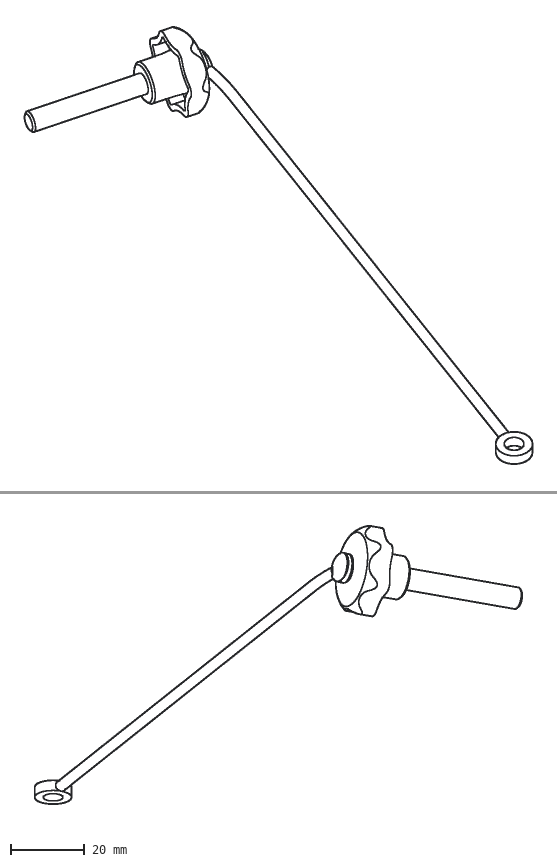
import cadquery as cq
import math


LOBES = 7
KNOB_RADIUS = 12.49
LOBE_TIP_RADIUS = 2.65
VALLEY_RADIUS = 10.7
KNOB_HEIGHT = 8.0
SHOULDER_RADIUS = 10.2
SHOULDER_HEIGHT = 6.6
CROWN_BULGE = 0.38
DOME_RADIUS = 12.8
SKIRT_HEIGHT = 2.0
ROUNDED_EDGE_BULGE = 0.6

KNOB_WALL = 1.8
POCKET_DEPTH = 4.5

HUB_DIAMETER = 12.0
HUB_ROOT_DIAMETER = 13.0
HUB_LENGTH = 8.4
HUB_ROOT_LENGTH = 0.6
HUB_END_CHAMFER = 0.6
SHANK_DIAMETER = 6.0
SHANK_LENGTH = 35.0
SHANK_END_CHAMFER = 0.6

NECK_DIAMETER = 6.0
FLANGE_DIAMETER = 8.0
FLANGE_BOTTOM = 8.3
FLANGE_TOP = 9.8

EYELET_DIAMETER = 8.0
EYELET_THICKNESS = 2.0
EYELET_HEIGHT = 9.2
ROD_DIAMETER = 3.0
ROD_HEIGHT = 10.99
BEND_END_X = 15.0
BEND_ANGLE = 11.0
BEND_RADIUS = 62.0
RING_X = 180.99
RING_DIAMETER = 10.0
RING_HOLE_DIAMETER = 5.3


def along_y(start):
    """Sketch plane facing +Y at the given Y, with local x = X and local y = -Z."""
    return cq.Workplane(cq.Plane((0, start, 0), (1, 0, 0), (0, 1, 0)))


def polar(radius, angle):
    """Point at the given radius and angle (radians)."""
    return (radius * math.cos(angle), radius * math.sin(angle))


def lobed_outline(start):
    """Closed outline of rounded lobe tips joined by tangent concave valleys."""
    half_pitch = math.pi / LOBES
    tip_distance = KNOB_RADIUS - LOBE_TIP_RADIUS
    along = tip_distance * math.cos(half_pitch)
    across = tip_distance * math.sin(half_pitch)

    inner = VALLEY_RADIUS - LOBE_TIP_RADIUS
    valley_distance = (along**2 + across**2 - inner**2) / (2 * (along - inner))
    share = LOBE_TIP_RADIUS / (valley_distance - inner)
    tangent_x = along + share * (valley_distance - along)
    tangent_y = across * (1 - share)
    tangent_radius = math.hypot(tangent_x, tangent_y)
    tangent_offset = half_pitch - math.atan2(tangent_y, tangent_x)

    first_lobe = math.pi / 2
    outline = along_y(start).moveTo(*polar(tangent_radius, first_lobe - tangent_offset))
    for index in range(LOBES):
        lobe = first_lobe + 2 * half_pitch * index
        valley = lobe + half_pitch
        next_lobe = valley + half_pitch
        tip_end = polar(tangent_radius, lobe + tangent_offset)
        valley_end = polar(tangent_radius, next_lobe - tangent_offset)
        outline = outline.threePointArc(polar(KNOB_RADIUS, lobe), tip_end)
        outline = outline.threePointArc(polar(VALLEY_RADIUS, valley), valley_end)
    return outline.close()


def knob_head():
    """Lobed prism trimmed by a domed body of revolution and hollowed from below."""
    prism = lobed_outline(0).extrude(KNOB_HEIGHT)
    dome = (
        cq.Workplane("XY")
        .lineTo(DOME_RADIUS, 0)
        .lineTo(DOME_RADIUS, SKIRT_HEIGHT)
        .sagittaArc((SHOULDER_RADIUS, SHOULDER_HEIGHT), -ROUNDED_EDGE_BULGE)
        .sagittaArc((0, KNOB_HEIGHT), -CROWN_BULGE)
        .close()
        .revolve(360, (0, 0, 0), (0, 1, 0))
    )
    pocket = lobed_outline(0).offset2D(-KNOB_WALL).extrude(POCKET_DEPTH)
    return prism.intersect(dome).cut(pocket)


def hub_and_shank():
    """Hub with a tapered root and a chamfered end, and the plain screw shank."""
    hub_root = (
        along_y(-HUB_ROOT_LENGTH)
        .circle(HUB_DIAMETER / 2)
        .workplane(offset=HUB_ROOT_LENGTH + POCKET_DEPTH)
        .circle(HUB_ROOT_DIAMETER / 2)
        .loft()
    )
    hub = along_y(-HUB_LENGTH).circle(HUB_DIAMETER / 2).extrude(HUB_LENGTH - HUB_ROOT_LENGTH)
    hub = hub.faces("<Y").chamfer(HUB_END_CHAMFER)
    shank = along_y(-HUB_LENGTH - SHANK_LENGTH).circle(SHANK_DIAMETER / 2).extrude(SHANK_LENGTH)
    shank = shank.faces("<Y").chamfer(SHANK_END_CHAMFER)
    return hub_root.union(hub).union(shank)


def eyelet_flange():
    """Neck rising out of the knob crown and the flange under the eyelet."""
    neck = along_y(POCKET_DEPTH).circle(NECK_DIAMETER / 2).extrude(FLANGE_BOTTOM - POCKET_DEPTH)
    flange = along_y(FLANGE_BOTTOM).circle(FLANGE_DIAMETER / 2).extrude(FLANGE_TOP - FLANGE_BOTTOM)
    return neck.union(flange)


def tether():
    """Tilted eyelet, bent rod and end ring."""
    eyelet = (
        along_y(EYELET_HEIGHT - EYELET_THICKNESS / 2)
        .circle(EYELET_DIAMETER / 2)
        .extrude(EYELET_THICKNESS)
        .rotate(
            (0, EYELET_HEIGHT, 0),
            (0, EYELET_HEIGHT, 1),
            BEND_ANGLE,
        )
    )

    straight = (
        cq.Workplane("YZ", origin=(BEND_END_X, ROD_HEIGHT, 0))
        .circle(ROD_DIAMETER / 2)
        .extrude(RING_X - BEND_END_X)
    )
    bend = (
        cq.Workplane("YZ", origin=(BEND_END_X, ROD_HEIGHT, 0))
        .circle(ROD_DIAMETER / 2)
        .revolve(BEND_ANGLE, (-BEND_RADIUS, 0, 0), (-BEND_RADIUS, 1, 0))
    )

    ring_plane = cq.Workplane("XY", origin=(RING_X, ROD_HEIGHT, 0))
    ring_space = ring_plane.circle(RING_DIAMETER / 2).extrude(ROD_DIAMETER, both=True)
    ring = (
        ring_plane.circle(RING_DIAMETER / 2)
        .circle(RING_HOLE_DIAMETER / 2)
        .extrude(ROD_DIAMETER / 2, both=True)
    )
    return eyelet.union(bend).union(straight.cut(ring_space)).union(ring)


result = knob_head().union(hub_and_shank()).union(eyelet_flange()).union(tether())